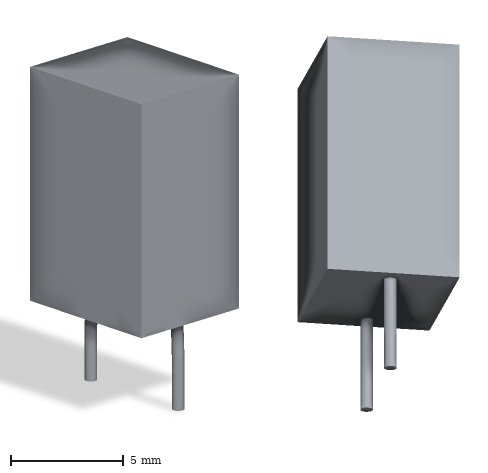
import cadquery as cq
import math

total_height = 15.21
housing_width = 7.2
housing_depth = 6.0
housing_height = 11.0

pin_diameter = 0.56
pin_root_offset = 2.75
pin_tip_offset = 2.81
upper_bend_depth = 0.17
lower_bend_depth = 1.66
bend_radius = 1.52

pin_length = total_height - housing_height
jog = pin_tip_offset - pin_root_offset
lean_angle = math.atan2(jog, lower_bend_depth - upper_bend_depth)


def make_housing():
    """Plain block standing on the plane Z = 0."""
    return cq.Workplane("XY").box(
        housing_width, housing_depth, housing_height, centered=(True, True, False)
    )


def make_pin_axis():
    """Path of the +X pin: straight root, leaning middle and straight tip joined by two arcs."""
    tangent_length = bend_radius * math.tan(lean_angle / 2)
    lean_run = tangent_length * math.sin(lean_angle)
    lean_drop = tangent_length * math.cos(lean_angle)
    return (
        cq.Workplane("XZ")
        .moveTo(pin_root_offset, 0)
        .lineTo(pin_root_offset, -upper_bend_depth + tangent_length)
        .tangentArcPoint((pin_root_offset + lean_run, -upper_bend_depth - lean_drop), relative=False)
        .lineTo(pin_tip_offset - lean_run, -lower_bend_depth + lean_drop)
        .tangentArcPoint((pin_tip_offset, -lower_bend_depth - tangent_length), relative=False)
        .lineTo(pin_tip_offset, -pin_length)
    )


def make_pin(mirrored):
    """Wire pin hanging from the underside of the housing, on the +X side or mirrored to -X."""
    pin = (
        cq.Workplane("XY")
        .center(pin_root_offset, 0)
        .circle(pin_diameter / 2)
        .sweep(make_pin_axis())
    )
    if mirrored:
        pin = pin.mirror("YZ")
    return pin


housing = make_housing()
pins = [make_pin(mirrored) for mirrored in (False, True)]

result = cq.Compound.makeCompound([housing.val(), *[pin.val() for pin in pins]])